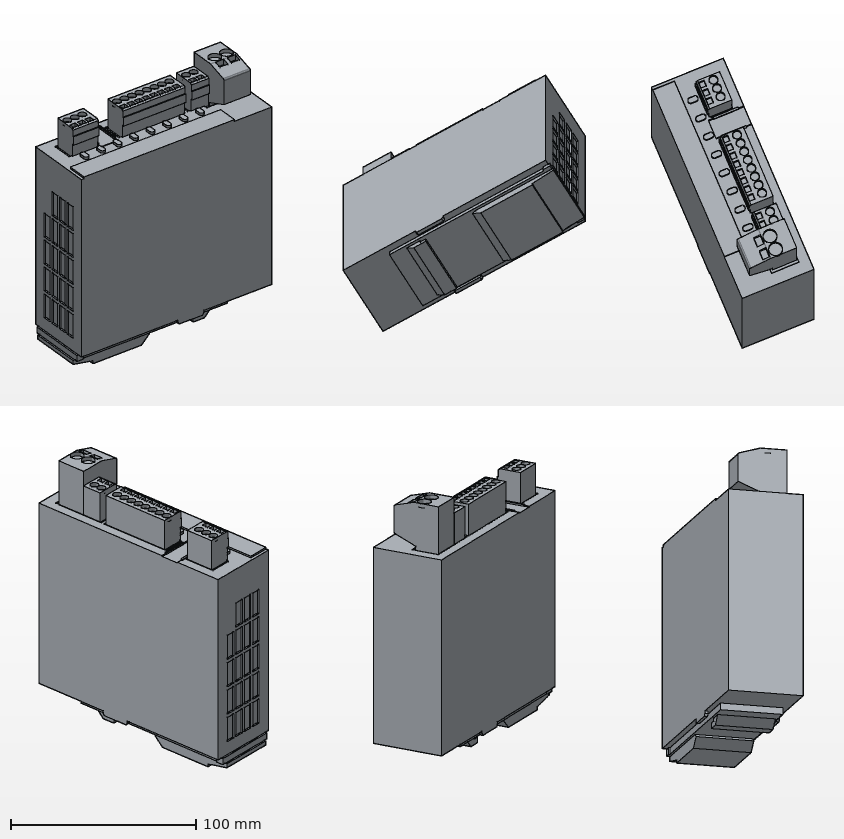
import cadquery as cq

width = 42.0
depth = 127.2
overall_height = 149.6
housing_bottom = 10.6
housing_top = 123.0

vent_width = 5.2
vent_height = 15.0
vent_depth = 1.0
vent_pitch_x = 7.0
vent_pitch_z = 17.0
vent_columns = 4
vent_rows = 5
vent_first_x = 10.5
vent_first_z = 26.2

cover_left = 29.3
cover_front = 1.8
cover_back = 102.2
cover_height = 1.0

light_count = 8
light_x = 24.1
light_first_y = 92.2
light_pitch = 11.0
light_length = 5.8
light_width = 3.1
light_height = 1.5

label_length = 20.8
label_front = 28.7
label_back = 40.0
label_depth = 0.5
rib_start = 2.8
rib_end = 17.8
rib_width = 1.2
rib_height = 0.5

plug_left = 6.5
plug_top = 140.6
plug_neck_x = 19.7
plug_upper_x = 20.2
plug_latch_x = 20.8
plug_latch_bottom = 130.5
plug_latch_top = 135.8
plug_edge_break = 0.9
plug_pitch = 5.01
plug_hole_x = 11.2
plug_hole_radius = 2.4
plug_slot_left = 16.0
plug_slot_right = 19.1
plug_slot_width = 3.5
contact_depth = 2.4
socket_left = 6.0
socket_right = 18.8
socket_front_margin = 1.6
socket_back_margin = 0.7
socket_depth = 0.7

plugs = [
    (10.2, 27.2, 13.0, 3),
    (43.5, 85.1, 46.1, 8),
    (89.3, 101.0, 92.3, 2),
]

power_front = 101.0
power_back = 118.6
power_left = 6.6
power_neck_x = 20.6
power_flat_end = 21.7
power_right = 34.1
power_right_top = 145.9
power_right_bottom = 130.0
power_neck_top = 124.6
power_corner_radius = 1.0
power_contact_y = (107.0, 114.7)
power_hole_x = 17.4
power_hole_radius = 3.7
power_slot_left = 21.8
power_slot_right = 25.7
power_slot_width = 5.4
power_slot_floor = 146.2
power_socket_right = 22.0
power_socket_front = 98.3
power_socket_back = 120.3

plate_bottom = 6.9
plate_front = -1.0
plate_back = 100.1
plate_inset = 2.7
plate_cap_back = 3.3
plate_body_inset = 3.5
clip_inset = 4.8
clip_front = -2.1
clip_step = 11.2
clip_step_top = 1.8
clip_nose_bottom = 4.3
clip_lip = 48.8
clip_lip_height = 5.2
clip_heel = 43.5
clip_back = 46.8
hook_back = 90.0
hook_heel = 85.5
hook_throat = 81.7
hook_tip = 78.1
hook_bottom = 2.1
hook_tip_top = 5.2

foot_front = 64.5
foot_back = 81.7
foot_bottom = 8.0
foot_shoulder = 9.4
foot_taper = 0.7
foot_thickness = 1.8


def block(x0, x1, y0, y1, z0, z1):
    """Axis-aligned box between two opposite corners."""
    return cq.Workplane("XY").box(x1 - x0, y1 - y0, z1 - z0, centered=False).translate((x0, y0, z0))


def front_profile(points, y0, y1):
    """XZ outline extruded from y0 to y1."""
    return cq.Workplane("XZ", origin=(0, y0, 0)).polyline(points).close().extrude(y0 - y1)


def side_profile(points, x0, x1):
    """YZ outline extruded from x0 to x1."""
    return cq.Workplane("YZ", origin=(x0, 0, 0)).polyline(points).close().extrude(x1 - x0)


def round_hole(x, y, radius, z_top):
    """Blind round contact opening below z_top."""
    return cq.Workplane("XY", origin=(x, y, z_top - contact_depth)).circle(radius).extrude(contact_depth)


def vents():
    """Grid of recesses; the upper left one is left out."""
    cutter = cq.Workplane("XY")
    for column in range(vent_columns):
        rows = vent_rows - 1 if column == 0 else vent_rows
        for row in range(rows):
            x = vent_first_x + column * vent_pitch_x - vent_width / 2
            z = vent_first_z + row * vent_pitch_z - vent_height / 2
            cutter = cutter.add(block(x, x + vent_width, 0, vent_depth, z, z + vent_height))
    return cutter.combine()


def light_pipes():
    centres = [(light_x, light_first_y - i * light_pitch) for i in range(light_count)]
    plane = cq.Workplane("XY", origin=(0, 0, housing_top))
    return plane.pushPoints(centres).slot2D(light_length, light_width).extrude(light_height)


def label_recess():
    """Shallow recess, open to the left side, with sloping front and back edges."""
    floor = housing_top - label_depth
    points = [
        (label_front, housing_top),
        (label_front + label_depth, floor),
        (label_back - label_depth, floor),
        (label_back, housing_top),
    ]
    return side_profile(points, 0, label_length)


def label_rib(y):
    """Rib centred on y, pointed at its left end."""
    half = rib_width / 2
    points = [
        (rib_start, y),
        (rib_start + half, y - half),
        (rib_end, y - half),
        (rib_end, y + half),
        (rib_start + half, y + half),
    ]
    plane = cq.Workplane("XY", origin=(0, 0, housing_top - label_depth))
    return plane.polyline(points).close().extrude(label_depth + rib_height)


def socket(right, y0, y1):
    return block(socket_left, right, y0, y1, housing_top - socket_depth, housing_top)


def plug(y0, y1, first_contact, contacts):
    """Small connector with a latch ledge on its right side and a row of contacts."""
    points = [
        (plug_left, housing_top - socket_depth),
        (plug_left, plug_top),
        (plug_upper_x - plug_edge_break, plug_top),
        (plug_upper_x, plug_top - plug_edge_break),
        (plug_upper_x, plug_latch_top),
        (plug_latch_x, plug_latch_top),
        (plug_latch_x, plug_latch_bottom),
        (plug_neck_x, plug_latch_bottom),
        (plug_neck_x, housing_top - socket_depth),
    ]
    body = front_profile(points, y0, y1)
    floor = plug_top - contact_depth
    half = plug_slot_width / 2
    for i in range(contacts):
        y = first_contact + i * plug_pitch
        body = body.cut(round_hole(plug_hole_x, y, plug_hole_radius, plug_top))
        body = body.cut(block(plug_slot_left, plug_slot_right, y - half, y + half, floor, plug_top))
    return body


def power_connector():
    """Large connector with an overhanging, sloping right side."""
    points = [
        (power_left, housing_top - socket_depth),
        (power_left, overall_height),
        (power_flat_end, overall_height),
        (power_right, power_right_top),
        (power_right, power_right_bottom),
        (power_neck_x, power_neck_top),
        (power_neck_x, housing_top - socket_depth),
    ]
    body = front_profile(points, power_front, power_back)
    corner = cq.selectors.NearestToPointSelector(
        (power_right, (power_front + power_back) / 2, power_right_top)
    )
    body = body.edges(corner).fillet(power_corner_radius)
    half = power_slot_width / 2
    for y in power_contact_y:
        body = body.cut(round_hole(power_hole_x, y, power_hole_radius, overall_height))
        body = body.cut(
            block(power_slot_left, power_slot_right, y - half, y + half, power_slot_floor, overall_height)
        )
    return body


def rail_mount():
    """Base plate with a wider front cap, a fixed rail hook and a sliding rail clip."""
    body = block(
        plate_body_inset, width - plate_body_inset, plate_cap_back, plate_back, plate_bottom, housing_bottom
    )
    cap = block(plate_inset, width - plate_inset, plate_front, plate_cap_back, plate_bottom, housing_bottom)
    hook_points = [
        (hook_back, plate_bottom),
        (hook_heel, hook_bottom),
        (hook_tip, hook_bottom),
        (hook_tip, hook_tip_top),
        (hook_throat, hook_tip_top),
        (hook_throat, plate_bottom),
    ]
    clip_points = [
        (clip_back, plate_bottom),
        (clip_lip, clip_lip_height),
        (clip_heel, 0),
        (clip_step, 0),
        (clip_step, clip_step_top),
        (clip_front, clip_nose_bottom),
        (clip_front, plate_bottom),
    ]
    hook = side_profile(hook_points, clip_inset, width - clip_inset)
    clip = side_profile(clip_points, clip_inset, width - clip_inset)
    return body.union(cap).union(hook).union(clip)


def foot(x0):
    """Tapered foot under one side wall."""
    points = [
        (foot_front, housing_bottom),
        (foot_front, foot_shoulder),
        (foot_front + foot_taper, foot_bottom),
        (foot_back - foot_taper, foot_bottom),
        (foot_back, foot_shoulder),
        (foot_back, housing_bottom),
    ]
    return side_profile(points, x0, x0 + foot_thickness)


result = block(0, width, 0, depth, housing_bottom, housing_top)
result = result.cut(vents()).cut(label_recess())
result = result.cut(socket(power_socket_right, power_socket_front, power_socket_back))
for plug_front, plug_back, first_contact_y, contact_count in plugs:
    socket_front = plug_front - socket_front_margin
    socket_back = plug_back + socket_back_margin
    result = result.cut(socket(socket_right, socket_front, socket_back))
    result = result.union(plug(plug_front, plug_back, first_contact_y, contact_count))
result = result.union(power_connector())
result = result.union(block(cover_left, width, cover_front, cover_back, housing_top, housing_top + cover_height))
result = result.union(light_pipes())
for rib_y in (label_front, label_back):
    result = result.union(label_rib(rib_y))
result = result.union(rail_mount())
for foot_x in (0, width - foot_thickness):
    result = result.union(foot(foot_x))